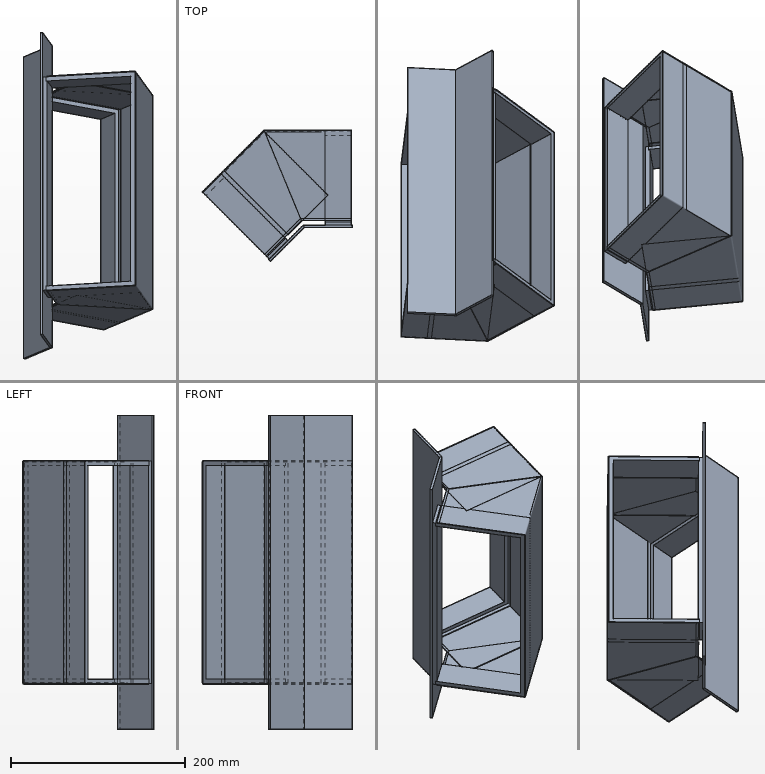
import cadquery as cq
import math

BEND_ANGLE = 45.0
MITRE_SLOPE = math.tan(math.radians(BEND_ANGLE / 2))

ARM_LENGTH = 100.0
SHELL_HEIGHT = 256.5
SHELL_DEPTH = 103.5
SHEET = 1.0
BEND_RADIUS = 2 * SHEET
BEVEL_LENGTH = 2.5

FRAME_LENGTH = 30.0
FRAME_WALL = 5.0
RAIL_TONGUE = 1.5

LINER_GAP = 5.0
LINER_SHEET = 1.0
LINER_OVERHANG = 0.7

COVER_HEIGHT = 360.0
COVER_BACK = 108.7
COVER_THICKNESS = 3.0
COVER_OVERHANG = 1.0

INNER_RADIUS = BEND_RADIUS - SHEET
INNER_HEIGHT = SHELL_HEIGHT - 2 * SHEET
OPENING_HEIGHT = INNER_HEIGHT - 2 * FRAME_WALL
COVER_FRONT = COVER_BACK + COVER_THICKNESS
FRAME_START = ARM_LENGTH - FRAME_LENGTH
LINER_END = FRAME_START - LINER_GAP
LINER_FACE = SHEET + LINER_SHEET
LINER_FRONT = SHELL_DEPTH + LINER_OVERHANG
RAIL_FRONT = SHELL_DEPTH + RAIL_TONGUE


def block(x_start, x_end, front, back, height):
    """Box between two depths behind the back wall, centred on Z = 0."""
    size = (x_end - x_start, front - back, height)
    return cq.Workplane("XY").box(*size, centered=(False, False, True)).translate((x_start, -front, 0))


def channel(x_start, x_end, front, wall):
    """Channel along X, open to the front, that lines the inside of the shell."""
    outside = block(x_start, x_end, front, SHEET, INNER_HEIGHT).edges("|X and >Y").fillet(INNER_RADIUS)
    inside = block(x_start, x_end, front, SHEET + wall, INNER_HEIGHT - 2 * wall)
    return outside.cut(inside)


def mitred(body):
    """Remove everything past the mitre plane."""
    reach = COVER_FRONT
    waste = (
        cq.Workplane("XY")
        .polyline([(0, 0), (0, -reach), (reach * MITRE_SLOPE, -reach)])
        .close()
        .extrude(COVER_HEIGHT / 2, both=True)
    )
    return body.cut(waste)


def left_arm(body):
    """Mirror a right-arm body across the mitre plane."""
    return body.val().mirror(cq.Vector(1, MITRE_SLOPE, 0), cq.Vector(0, 0, 0))


def make_shell():
    """Mitred sheet channel whose flanges thin to an edge over the bevel at the front."""
    outside = block(0, ARM_LENGTH, SHELL_DEPTH, 0, SHELL_HEIGHT).edges("|X and >Y").fillet(BEND_RADIUS)
    inside = block(0, ARM_LENGTH, SHELL_DEPTH, SHEET, INNER_HEIGHT).edges("|X and >Y").fillet(INNER_RADIUS)
    bevel_start = SHELL_DEPTH - BEVEL_LENGTH
    flare = (
        cq.Workplane("YZ")
        .polyline([
            (-bevel_start, -INNER_HEIGHT / 2),
            (-SHELL_DEPTH, -SHELL_HEIGHT / 2),
            (-SHELL_DEPTH, SHELL_HEIGHT / 2),
            (-bevel_start, INNER_HEIGHT / 2),
        ])
        .close()
        .extrude(ARM_LENGTH)
    )
    return mitred(outside.cut(inside).cut(flare))


def make_frame():
    return channel(FRAME_START, ARM_LENGTH, RAIL_FRONT, FRAME_WALL)


def make_jamb():
    """Front bar of the end frame, notched for the tongues of the frame rails."""
    bar = block(FRAME_START, ARM_LENGTH, COVER_BACK, RAIL_FRONT, INNER_HEIGHT)
    between_rails = block(FRAME_START, ARM_LENGTH, RAIL_FRONT, SHELL_DEPTH, OPENING_HEIGHT)
    return bar.union(between_rails)


def make_cover():
    return mitred(block(0, ARM_LENGTH + COVER_OVERHANG, COVER_FRONT, COVER_BACK, COVER_HEIGHT))


def make_back_liner():
    """Back wall of the corner liner in one arm, ending at the mitre."""
    back_layer = block(0, LINER_END, LINER_FACE, SHEET, INNER_HEIGHT)
    return mitred(channel(0, LINER_END, LINER_FRONT, LINER_SHEET).intersect(back_layer))


def make_channel_liner():
    """Back liner with flanges that run square past the mitre to the liner's inner corner."""
    corner = LINER_FACE * MITRE_SLOPE
    flange_layer = block(corner, LINER_END, LINER_FRONT, LINER_FACE, INNER_HEIGHT)
    flanges = channel(0, LINER_END, LINER_FRONT, LINER_SHEET).intersect(flange_layer)
    return make_back_liner().union(flanges)


shell = make_shell()
frame = make_frame()
jamb = make_jamb()
cover = make_cover()
back_liner = make_back_liner()
left_liner = left_arm(make_channel_liner())

right_frame = frame.cut(cq.Workplane(left_liner))

bodies = [back_liner.val(), left_liner, right_frame.val(), left_arm(frame)]
for part in (shell, jamb, cover):
    bodies += [part.val(), left_arm(part)]

result = cq.Compound.makeCompound(bodies)